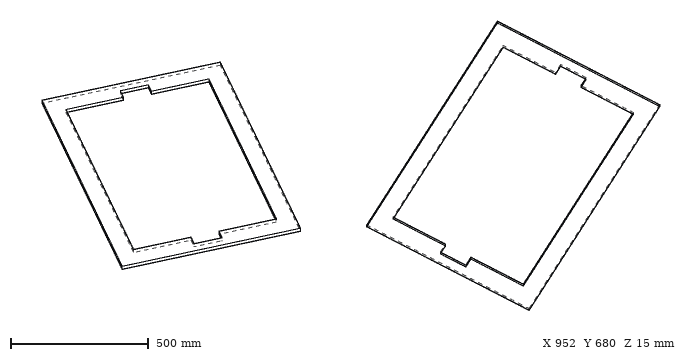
import cadquery as cq

length = 952.0
width = 680.0
thickness = 15.0

end_border = 75.0
side_border = 68.0
notch_depth = 37.0
notch_width = 107.0

opening_length = length - 2 * end_border
opening_width = width - 2 * side_border
notch_span = opening_length + 2 * notch_depth

plate = cq.Workplane("XY").box(length, width, thickness)
opening = cq.Workplane("XY").box(opening_length, opening_width, thickness)

notches = cq.Workplane("XY").box(notch_span, notch_width, thickness)

result = plate.cut(opening).cut(notches)